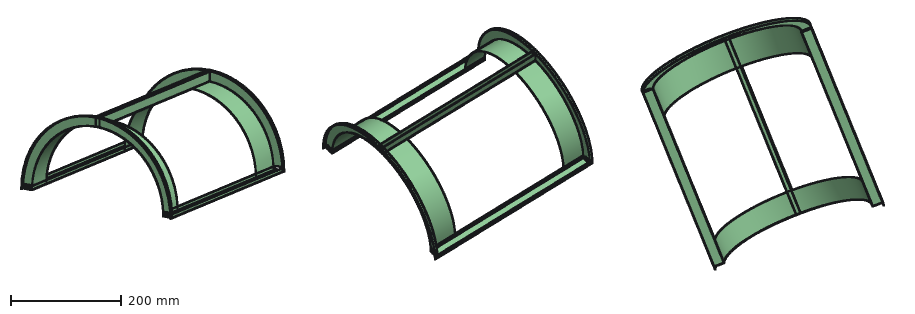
import cadquery as cq

LENGTH = 364.0
OUTER_RADIUS = 165.0
FRAME_DEPTH = 20.0
SHEET = 0.5
RIM_WIDTH = 6.0
FRONT_SKIRT_END = 51.5
BACK_SKIRT_END = 62.0

BASE = 0.5
RAIL_HEIGHT = 7.5
RIDGE_WIDTH = 9.0
RIDGE_TOP = 164.0
RECESS_DEPTH = 0.25

SLOT_WIDTH = 13.0
SLOT_BOTTOM = 3.5
SLOT_TOP = 9.5
SLOT_CORNER_RADIUS = 2.5

INNER_RADIUS = OUTER_RADIUS - FRAME_DEPTH
FRONT = -LENGTH / 2
BACK = LENGTH / 2
RAIL_CENTER = (OUTER_RADIUS + INNER_RADIUS) / 2
RIDGE_INNER_WIDTH = RIDGE_WIDTH - 2 * SHEET


def block(width, height, x_center, z_bottom, y_start, y_end):
    """Box centred on x_center, standing on z_bottom."""
    return cq.Workplane("XY").box(
        width, y_end - y_start, height, centered=(True, False, False)
    ).translate((x_center, y_start, z_bottom))


def half_ring(outer, inner, y_start, y_end):
    """Half ring about the Y axis, trimmed flat at the base height."""
    return (
        cq.Workplane("XZ", origin=(0, y_start, 0))
        .moveTo(-outer, 0)
        .threePointArc((0, outer), (outer, 0))
        .lineTo(inner, 0)
        .threePointArc((0, inner), (-inner, 0))
        .close()
        .extrude(y_start - y_end)
        .intersect(block(2 * outer, outer, 0, BASE, *sorted((y_start, y_end))))
    )


def channel(width, height, x_center, z_bottom):
    """U channel, open upward, ending in the two webs."""
    start = FRONT + RIM_WIDTH - SHEET
    end = BACK - RIM_WIDTH + SHEET
    outside = block(width, height, x_center, z_bottom, start, end)
    inside = block(width - 2 * SHEET, height, x_center, z_bottom + SHEET,
                   FRONT + RIM_WIDTH, BACK - RIM_WIDTH)
    return outside.cut(inside)


def arched_frame(end, inward, skirt_end):
    """Rim, web and skirt at one end; inward is the Y direction into the part."""
    web_outside = end + inward * (RIM_WIDTH - SHEET)
    web_inside = end + inward * RIM_WIDTH
    rim = half_ring(OUTER_RADIUS, OUTER_RADIUS - SHEET, end, web_inside)
    web = half_ring(OUTER_RADIUS, INNER_RADIUS, web_outside, web_inside)
    skirt = half_ring(INNER_RADIUS + SHEET, INNER_RADIUS, web_outside, end + inward * skirt_end)
    return rim.union(web).union(skirt)


def rail_slot(x_center):
    """Cutter through both webs, with rounded upper corners, above a rail floor."""
    return block(
        SLOT_WIDTH, SLOT_TOP - SLOT_BOTTOM, x_center, SLOT_BOTTOM, FRONT, BACK
    ).edges("|Y and >Z").fillet(SLOT_CORNER_RADIUS)


def ridge_recess(end, inward):
    """Cutter for the shallow recess in the outer face of a web at the ridge."""
    y_limits = sorted((end, end + inward * (RIM_WIDTH - SHEET + RECESS_DEPTH)))
    height = OUTER_RADIUS - SHEET - INNER_RADIUS
    return block(RIDGE_INNER_WIDTH, height, 0, INNER_RADIUS, *y_limits).intersect(
        half_ring(OUTER_RADIUS - SHEET, INNER_RADIUS, *y_limits)
    )


result = arched_frame(FRONT, 1, FRONT_SKIRT_END)
result = result.union(arched_frame(BACK, -1, BACK_SKIRT_END))
result = result.union(channel(RIDGE_WIDTH, RIDGE_TOP - INNER_RADIUS, 0, INNER_RADIUS))
for side in (-1, 1):
    result = result.union(channel(FRAME_DEPTH, RAIL_HEIGHT, side * RAIL_CENTER, BASE))
for side in (-1, 1):
    result = result.cut(rail_slot(side * RAIL_CENTER))
for end, inward in ((FRONT, 1), (BACK, -1)):
    result = result.cut(ridge_recess(end, inward))